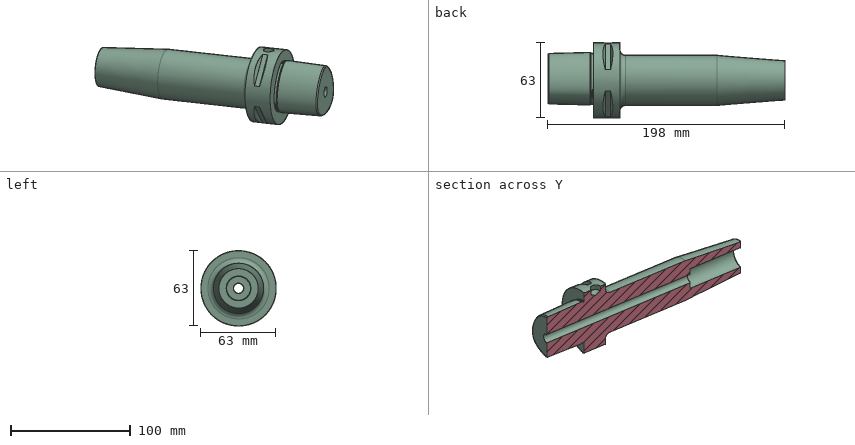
import cadquery as cq
import math

total_length = 198.0
nose_length = 57.0
flange_start = 137.8
flange_end = 160.0
flange_middle = 148.0
relief_length = 2.0
relief_slope_length = 1.0
end_chamfer_length = 1.2

nose_radius = 16.5
neck_radius = 21.0
flange_radius = 31.5
neck_fillet = 4.5

bore_diameter = 20.0
bore_mouth_diameter = 20.5
bore_depth = 51.5
through_diameter = 8.3

shank_mean_radius = 22.0
lobe_height = 1.4
shank_taper = 1 / 20
relief_depth = 0.4
relief_radius = 22.5
relief_flare = 1.2
end_chamfer_depth = 0.8
lobe_points = 36

slot_count = 4
slot_floor_radius = 27.7
slot_floor_width = 4.4
slot_mouth_width = 8.3
dimple_diameter = 9.0
dimple_depth = 5.0
dimple_tip_angle = 118.0


def make_body():
    """Revolve the conical nose, the neck and the flange around X."""
    fillet_start = flange_start - neck_fillet
    fillet_top = neck_radius + neck_fillet
    fillet_sine = neck_fillet * math.sin(math.radians(45))
    fillet_middle = (fillet_start + fillet_sine, fillet_top - fillet_sine)
    return (
        cq.Workplane("XY")
        .lineTo(0, nose_radius)
        .lineTo(nose_length, neck_radius)
        .lineTo(fillet_start, neck_radius)
        .threePointArc(fillet_middle, (flange_start, fillet_top))
        .lineTo(flange_start, flange_radius)
        .lineTo(flange_end, flange_radius)
        .lineTo(flange_end, 0)
        .close()
        .revolve(360, (0, 0, 0), (1, 0, 0))
    )


def lobe_wire(x, mean_radius):
    """Return a closed constant-width curve with three lobes at station x."""
    points = []
    for index in range(lobe_points):
        angle = 2 * math.pi * index / lobe_points
        reach = mean_radius + lobe_height * math.cos(3 * angle)
        slide = -3 * lobe_height * math.sin(3 * angle)
        y = reach * math.sin(angle) + slide * math.cos(angle)
        z = reach * math.cos(angle) - slide * math.sin(angle)
        points.append(cq.Vector(x, y, z))
    return cq.Wire.assembleEdges([cq.Edge.makeSpline(points, periodic=True)])


def make_shank():
    """Loft the undercut, taper and end chamfer, then trim the lobes beside the flange."""
    relief_end = flange_end + relief_length
    taper_start = relief_end + relief_slope_length
    chamfer_start = total_length - end_chamfer_length
    relief_mean_radius = shank_mean_radius - relief_depth
    small_radius = shank_mean_radius - shank_taper / 2 * (chamfer_start - taper_start)
    sections = [
        lobe_wire(flange_end, relief_mean_radius),
        lobe_wire(relief_end, relief_mean_radius),
        lobe_wire(taper_start, shank_mean_radius),
        lobe_wire(chamfer_start, small_radius),
        lobe_wire(total_length, small_radius - end_chamfer_depth),
    ]
    shank = cq.Workplane(cq.Solid.makeLoft(sections, True))

    envelope = (
        cq.Workplane("XY")
        .moveTo(flange_end, 0)
        .lineTo(flange_end, relief_radius)
        .lineTo(relief_end - relief_flare, relief_radius)
        .lineTo(relief_end, relief_radius + relief_flare)
        .lineTo(total_length, relief_radius + relief_flare)
        .lineTo(total_length, 0)
        .close()
        .revolve(360, (0, 0, 0), (1, 0, 0))
    )
    return shank.intersect(envelope)


def make_bore():
    """Revolve the chamfered clamping bore and the smaller hole through the part."""
    bore_radius = bore_diameter / 2
    mouth_radius = bore_mouth_diameter / 2
    through_radius = through_diameter / 2
    return (
        cq.Workplane("XY")
        .lineTo(0, mouth_radius)
        .lineTo(mouth_radius - bore_radius, bore_radius)
        .lineTo(bore_depth, bore_radius)
        .lineTo(bore_depth, through_radius)
        .lineTo(total_length, through_radius)
        .lineTo(total_length, 0)
        .close()
        .revolve(360, (0, 0, 0), (1, 0, 0))
    )


def make_slot(angle):
    """Make a flat-floored slot with flared sides, turned by an angle around X."""
    floor_half = slot_floor_width / 2
    mouth_half = slot_mouth_width / 2
    return (
        cq.Workplane("XZ")
        .moveTo(flange_middle - floor_half, slot_floor_radius)
        .lineTo(flange_middle - mouth_half, flange_radius)
        .lineTo(flange_middle + mouth_half, flange_radius)
        .lineTo(flange_middle + floor_half, slot_floor_radius)
        .close()
        .extrude(flange_radius, both=True)
        .rotate((0, 0, 0), (1, 0, 0), angle)
    )


def make_dimple():
    """Make the cone-bottomed hole in the +Z side of the flange."""
    radius = dimple_diameter / 2
    tip_length = radius / math.tan(math.radians(dimple_tip_angle / 2))
    floor_height = flange_radius - dimple_depth
    return (
        cq.Workplane("XZ")
        .moveTo(flange_middle, flange_radius)
        .lineTo(flange_middle + radius, flange_radius)
        .lineTo(flange_middle + radius, floor_height)
        .lineTo(flange_middle, floor_height - tip_length)
        .close()
        .revolve(360, (flange_middle, 0, 0), (flange_middle, 1, 0))
    )


result = make_body().union(make_shank()).cut(make_bore()).cut(make_dimple())
for slot_index in range(slot_count):
    slot_angle = (slot_index + 0.5) * 360 / slot_count
    result = result.cut(make_slot(slot_angle))